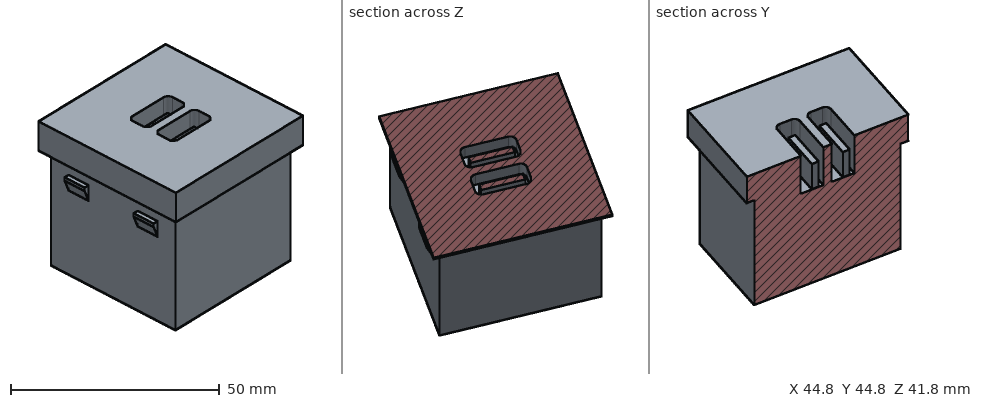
import cadquery as cq

BEZEL_SIDE = 44.8
BEZEL_HEIGHT = 8.5
BODY_SIDE = 40.6
TOTAL_HEIGHT = 41.8
BODY_HEIGHT = TOTAL_HEIGHT - BEZEL_HEIGHT

CLIP_WIDTH = 6.5
CLIP_SPACING = 22.5
CLIP_REACH = 1.4
CLIP_HEIGHT = 4.5
CLIP_TIP_HEIGHT = 1.0
CLIP_TOP_BELOW_BEZEL = 4.4

SOCKET_WIDTH = 6.2
SOCKET_LENGTH = 13.9
SOCKET_CORNER_RADIUS = 1.5
SOCKET_DEPTH = 12.0
SOCKET_SPACING = 8.6
TONGUE_THICKNESS = 1.9
TONGUE_LENGTH = 11.1
TONGUE_HEIGHT = 8.0
TONGUE_WALL_GAP = 1.25


def make_housing():
    """Square body standing on Z = 0 with a wider bezel on top."""
    body = cq.Workplane("XY").rect(BODY_SIDE, BODY_SIDE).extrude(BODY_HEIGHT)
    bezel = (
        cq.Workplane("XY")
        .workplane(offset=BODY_HEIGHT)
        .rect(BEZEL_SIDE, BEZEL_SIDE)
        .extrude(BEZEL_HEIGHT)
    )
    return body.union(bezel)


def make_clip(x_center, side):
    """Wedge clip on the face towards side * Y (side is -1 or +1)."""
    top = BODY_HEIGHT - CLIP_TOP_BELOW_BEZEL
    face = side * BODY_SIDE / 2
    tip = face + side * CLIP_REACH
    profile = [
        (face, top),
        (tip, top),
        (tip, top - CLIP_TIP_HEIGHT),
        (face, top - CLIP_HEIGHT),
    ]
    return (
        cq.Workplane("YZ")
        .workplane(offset=x_center - CLIP_WIDTH / 2)
        .polyline(profile)
        .close()
        .extrude(CLIP_WIDTH)
    )


def make_socket(x_center):
    """Volume removed for one socket: a rounded pocket that leaves the tongue standing."""
    floor = TOTAL_HEIGHT - SOCKET_DEPTH
    pocket = (
        cq.Workplane("XY")
        .workplane(offset=floor)
        .center(x_center, 0)
        .rect(SOCKET_WIDTH, SOCKET_LENGTH)
        .extrude(SOCKET_DEPTH)
        .edges("|Z")
        .fillet(SOCKET_CORNER_RADIUS)
    )
    tongue_x = x_center - SOCKET_WIDTH / 2 + TONGUE_WALL_GAP + TONGUE_THICKNESS / 2
    tongue = (
        cq.Workplane("XY")
        .workplane(offset=floor)
        .center(tongue_x, 0)
        .rect(TONGUE_THICKNESS, TONGUE_LENGTH)
        .extrude(TONGUE_HEIGHT)
    )
    return pocket.cut(tongue)


result = make_housing()
for x_sign in (-1, 1):
    for y_side in (-1, 1):
        result = result.union(make_clip(x_sign * CLIP_SPACING / 2, y_side))
    result = result.cut(make_socket(x_sign * SOCKET_SPACING / 2))